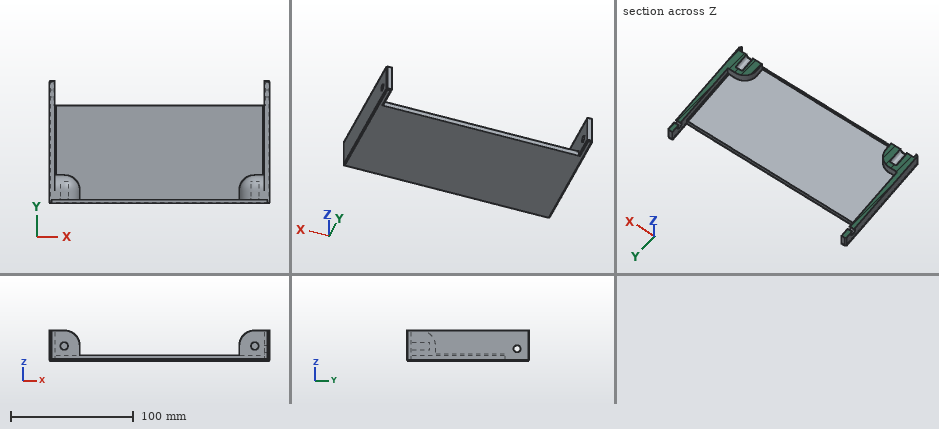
import cadquery as cq

width = 180.0
depth = 100.0
height = 25.0

wall = 4.75
floor_thickness = wall
floor_setback = 20.0
edge_chamfer = 1.0
floor_corner_chamfer = 1.0

recess_depth = 3.25
recess_margin = 2.0

boss_radius = 12.5
boss_reach = 25.0
boss_straight = 7.5
boss_hole_diameter = 6.3
boss_hole_inset = 12.25
boss_hole_depth = 15.0

side_hole_diameter = 5.5
side_hole_height = 10.0
side_hole_setback = 10.0

front = -depth / 2
rear = depth / 2
side = width / 2
recess_face = front + recess_depth
boss_center_y = recess_face + boss_straight


def box(x_range, y_range, z_range):
    """Box between pairs of low and high coordinates."""
    (x0, x1), (y0, y1), (z0, z1) = x_range, y_range, z_range
    return cq.Workplane("XY").box(x1 - x0, y1 - y0, z1 - z0, centered=False).translate((x0, y0, z0))


def make_tray():
    """Floor between two side walls, chamfered at the outer corners and underside.

    The rear opening flares at the bottom, which chamfers the inner lower edges of the walls.
    """
    block = box((-side, side), (front, rear), (0, height))
    block = block.edges("|Z or <Z").chamfer(edge_chamfer)
    inner = side - wall
    interior = box((-inner, inner), (front, rear), (floor_thickness, height))
    interior = interior.edges("|Y and <Z").chamfer(floor_corner_chamfer)
    flare = inner + edge_chamfer
    open_rear = (
        cq.Workplane("XZ", origin=(0, rear, 0))
        .moveTo(-flare, 0)
        .lineTo(-inner, edge_chamfer)
        .lineTo(-inner, height)
        .lineTo(inner, height)
        .lineTo(inner, edge_chamfer)
        .lineTo(flare, 0)
        .close()
        .extrude(floor_setback)
    )
    return block.cut(interior).cut(open_rear)


def make_right_boss():
    """Corner boss with the three edges at its free upper corner rounded into a dome."""
    boss_rear = boss_center_y + boss_radius
    block = box((side - boss_reach, side - wall), (recess_face, boss_rear), (recess_margin, height))
    free_edges = (
        block.edges("|Z and <X and >Y")
        .add(block.edges("|Y and <X and >Z"))
        .add(block.edges("|X and >Y and >Z"))
    )
    return free_edges.fillet(boss_radius)


def make_front_recess():
    """Seat open at the top and front, leaving a rim at the sides and below."""
    half = side - recess_margin
    return box((-half, half), (front, recess_face), (recess_margin, height))


def make_right_boss_hole():
    """Blind hole running rearward into the boss."""
    return (
        cq.Workplane("XZ", origin=(side - boss_hole_inset, recess_face, boss_hole_inset))
        .circle(boss_hole_diameter / 2)
        .extrude(-boss_hole_depth)
    )


def make_side_holes():
    """One drill axis that passes through both side walls."""
    return (
        cq.Workplane("YZ", origin=(-side, rear - side_hole_setback, side_hole_height))
        .circle(side_hole_diameter / 2)
        .extrude(width)
    )


right_boss = make_right_boss()
right_hole = make_right_boss_hole()
result = make_tray().union(right_boss).union(right_boss.mirror("YZ"))
result = result.cut(make_front_recess())
result = result.cut(right_hole).cut(right_hole.mirror("YZ"))
result = result.cut(make_side_holes())